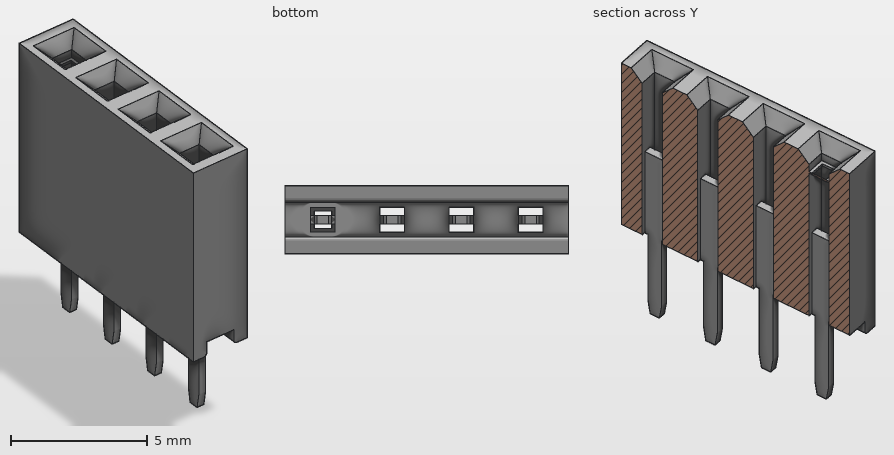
import cadquery as cq

contact_count = 4
pitch = 2.54
length = 10.41
width = 2.5
total_height = 11.7
housing_height = 8.51

groove_width = width / 2
groove_depth = 0.63
groove_edge_radius = 0.15

funnel_mouth = 1.9
cavity_side = 0.9
funnel_depth = (funnel_mouth - cavity_side) / 2

plate_opening = 0.63
plate_drop = 0.35
plate_thickness = 0.1

contact_thickness = 0.32
pin_width = 0.63
pin_tip_width = 0.42
pin_tip_length = 0.63
shoulder_drop = 0.02

housing_top = total_height
housing_bottom = housing_top - housing_height
groove_roof = housing_bottom + groove_depth
funnel_bottom = housing_top - funnel_depth
plate_top = funnel_bottom - plate_drop
blade_top = (housing_top + groove_roof) / 2
blade_bottom = groove_roof - shoulder_drop

contact_positions = [(i - (contact_count - 1) / 2) * pitch for i in range(contact_count)]


def upright_box(size_x, size_y, z_low, z_high, x=0.0):
    """Box centred on (x, 0), reaching from z_low to z_high."""
    return (
        cq.Workplane("XY", origin=(x, 0, z_low))
        .rect(size_x, size_y)
        .extrude(z_high - z_low)
    )


def make_housing():
    """Plain block with a round-edged groove along its underside."""
    block = upright_box(length, width, housing_bottom, housing_top)
    groove = upright_box(length, groove_width, housing_bottom, groove_roof)
    reach_y = (groove_width + width) / 4
    reach_z = groove_depth / 2
    around_groove_mouth = cq.selectors.BoxSelector(
        (-length, -reach_y, housing_bottom - reach_z),
        (length, reach_y, housing_bottom + reach_z),
    )
    groove_edges = block.cut(groove).edges("|X").edges(around_groove_mouth)
    return groove_edges.fillet(groove_edge_radius)


def make_cavity(x):
    """Square funnel leading into a square hole down to the groove."""
    funnel = (
        cq.Workplane("XY", origin=(x, 0, funnel_bottom))
        .rect(cavity_side, cavity_side)
        .workplane(offset=funnel_depth)
        .rect(funnel_mouth, funnel_mouth)
        .loft(ruled=True)
    )
    hole = upright_box(cavity_side, cavity_side, groove_roof, funnel_bottom, x)
    return funnel.union(hole)


def make_plate(x):
    """Thin plate across a cavity, with a square opening."""
    plate_bottom = plate_top - plate_thickness
    plate = upright_box(cavity_side, cavity_side, plate_bottom, plate_top, x)
    opening = upright_box(plate_opening, plate_opening, plate_bottom, plate_top, x)
    return plate.cut(opening)


def make_contact(x):
    """Flat blade held by the cavity walls, with a pin tapering to its tip."""
    right_side = [
        (pin_tip_width / 2, 0),
        (pin_width / 2, pin_tip_length),
        (pin_width / 2, blade_bottom),
        (cavity_side / 2, blade_bottom),
        (cavity_side / 2, blade_top),
    ]
    left_side = [(-px, pz) for px, pz in reversed(right_side)]
    return (
        cq.Workplane("XZ", origin=(x, 0, 0))
        .polyline(right_side + left_side)
        .close()
        .extrude(contact_thickness / 2, both=True)
    )


result = make_housing()
for position in contact_positions:
    result = result.cut(make_cavity(position))
result = result.union(make_plate(contact_positions[0]))
for position in contact_positions:
    result = result.union(make_contact(position))